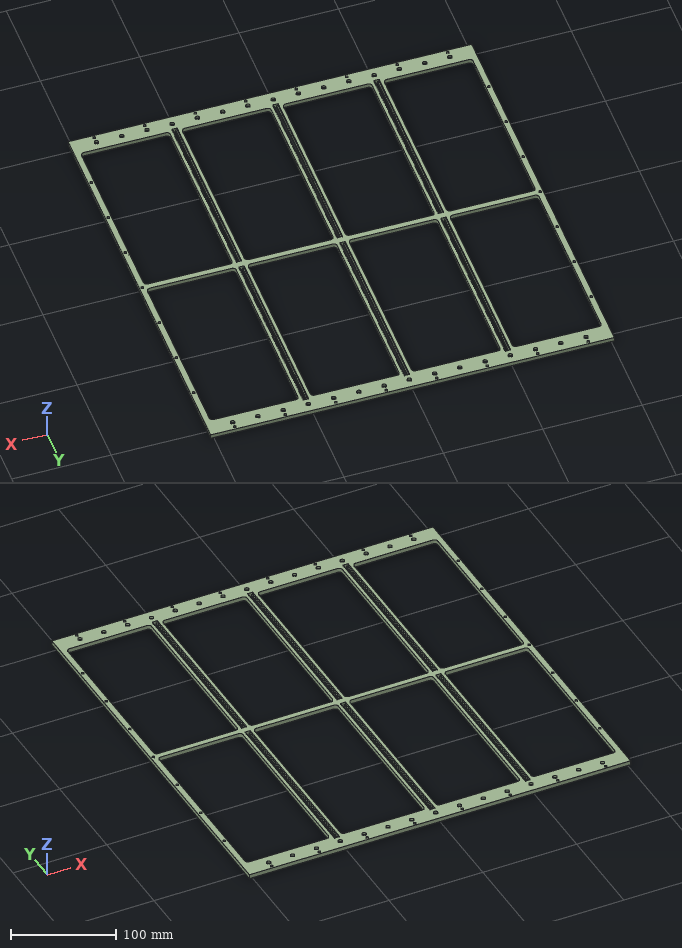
import cadquery as cq

WIDTH = 406.4
LENGTH = 419.1
THICKNESS = 4.7625

SIDE_RAIL = 6.35
END_RAIL = 19.05
CROSS_BAR = 6.35
RIB_WIDTH = 12.7
BAY_COUNT = 4
BAY_PITCH = WIDTH / BAY_COUNT
WINDOW_CORNER_RADIUS = 3.175

GROOVE_WIDTH = 5.16
GROOVE_DEPTH = THICKNESS / 2
SLOT_WIDTH = 2.38
GROOVE_END_INSET = 16.5
GROOVE_CENTRE_GAP = 7.54

COUNTERBORE_DIAMETER = 4.12
COUNTERBORE_DEPTH = THICKNESS / 2
PILOT_DIAMETER = 2.39
RAIL_HOLE_PITCH = BAY_PITCH / 4
RAIL_HOLE_COUNT = 15
RAIL_HOLE_INSET = END_RAIL / 2

EDGE_HOLE_DIAMETER = 2.38
EDGE_HOLE_INSET = 3.175
END_EDGE_HOLE_PITCH = 2 * RAIL_HOLE_PITCH
END_EDGE_HOLE_COUNT = 8
SIDE_EDGE_HOLE_PITCH = 50.0
SIDE_EDGE_HOLE_COUNT = 7

SIDES = (-1, 1)


def centred_row(count, pitch):
    """Evenly pitched positions, symmetric about zero."""
    return [(index - (count - 1) / 2) * pitch for index in range(count)]


RIB_CENTRES = centred_row(BAY_COUNT - 1, BAY_PITCH)


def block(x_min, x_max, y_min, y_max, z_min):
    """Block from z_min up to the top face of the plate."""
    size = (x_max - x_min, y_max - y_min, THICKNESS - z_min)
    return cq.Workplane("XY").box(*size, centered=False).translate((x_min, y_min, z_min))


def window(bay, side):
    """Round-cornered opening of one bay, on one side of the cross bar."""
    x_min = -WIDTH / 2 + SIDE_RAIL
    x_max = WIDTH / 2 - SIDE_RAIL
    if bay > 0:
        x_min = RIB_CENTRES[bay - 1] + RIB_WIDTH / 2
    if bay < BAY_COUNT - 1:
        x_max = RIB_CENTRES[bay] - RIB_WIDTH / 2
    y_min, y_max = sorted((side * CROSS_BAR / 2, side * (LENGTH / 2 - END_RAIL)))
    return block(x_min, x_max, y_min, y_max, 0).edges("|Z").fillet(WINDOW_CORNER_RADIUS)


def stepped_slot(x_centre, side):
    """Groove in the top face with a narrower slot through its floor."""
    y_min, y_max = sorted((side * GROOVE_CENTRE_GAP / 2, side * (LENGTH / 2 - GROOVE_END_INSET)))

    def channel(width, z_min):
        return block(x_centre - width / 2, x_centre + width / 2, y_min, y_max, z_min)

    return channel(GROOVE_WIDTH, THICKNESS - GROOVE_DEPTH).union(channel(SLOT_WIDTH, 0))


def end_rail_points(count, pitch, inset):
    """Matching hole rows along both end rails."""
    y_row = LENGTH / 2 - inset
    return [(x, side * y_row) for side in SIDES for x in centred_row(count, pitch)]


def side_rail_points(count, pitch, inset):
    """Matching hole rows along both side rails."""
    x_row = WIDTH / 2 - inset
    return [(side * x_row, y) for side in SIDES for y in centred_row(count, pitch)]


frame = cq.Workplane("XY").box(WIDTH, LENGTH, THICKNESS, centered=(True, True, False))
for side in SIDES:
    for bay in range(BAY_COUNT):
        frame = frame.cut(window(bay, side))
    for rib_centre in RIB_CENTRES:
        frame = frame.cut(stepped_slot(rib_centre, side))

top_plane = cq.Workplane("XY", origin=(0, 0, THICKNESS))

rail_holes = top_plane.pushPoints(end_rail_points(RAIL_HOLE_COUNT, RAIL_HOLE_PITCH, RAIL_HOLE_INSET))
frame = frame.cut(rail_holes.circle(PILOT_DIAMETER / 2).extrude(-THICKNESS))
frame = frame.cut(rail_holes.circle(COUNTERBORE_DIAMETER / 2).extrude(-COUNTERBORE_DEPTH))

edge_points = end_rail_points(END_EDGE_HOLE_COUNT, END_EDGE_HOLE_PITCH, EDGE_HOLE_INSET)
edge_points += side_rail_points(SIDE_EDGE_HOLE_COUNT, SIDE_EDGE_HOLE_PITCH, EDGE_HOLE_INSET)
edge_holes = top_plane.pushPoints(edge_points)
frame = frame.cut(edge_holes.circle(EDGE_HOLE_DIAMETER / 2).extrude(-THICKNESS))

result = frame